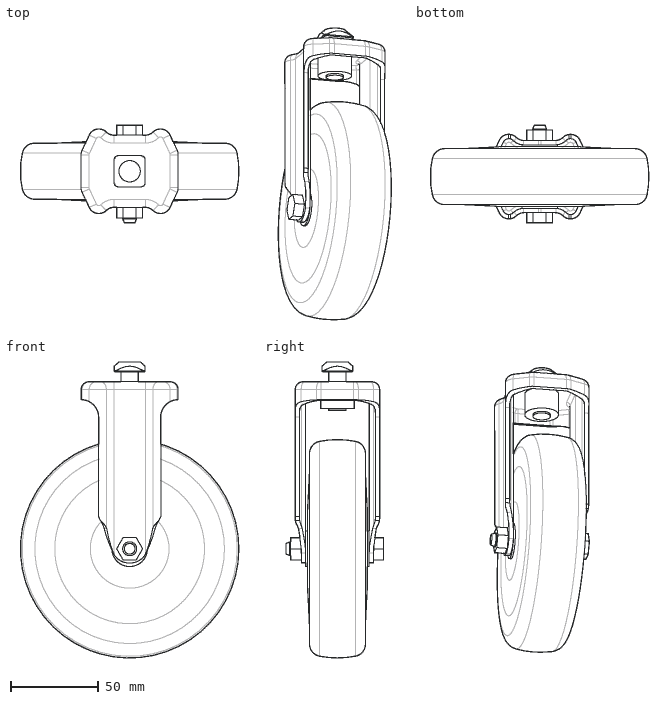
import cadquery as cq
import math


wheel_radius = 62.5
tread_half_width = 10.3
tread_edge_radius = 61.5
rim_half_width = 16.1
rim_radius = 54.2
disc_radius = 42.9
hub_radius = 22.5
hub_half_width = 17.1

sheet = 2.5
web_face_y = 20.7
web_half_width = 9.0
bead_radius = 6.1
bead_x = 17.6
bead_y = 18.1
crown_half_length = 27.8
crown_side_half = 9.3
crown_corner_radius = 6.5
crown_top = 95.5
crown_edge_fillet = 4.5
skirt_bottom = 85.2
leg_half_width = 17.8
skirt_arc_radius = crown_half_length - leg_half_width
taper_top = 18.5
taper_knee = (16.8, 16.3)
taper_bend_z = 11.7
taper_bend_inner_x = 16.0
taper_bend_outer_x = 11.7
taper_end = (9.3, -2.5)
leg_bottom = -8.1
leg_end_mid = (5.0, -7.0)
cut_margin = 0.3

spacer_radius = 10.2
spacer_half_width = web_face_y - sheet
hex_across_flats = 12.9
head_end_y = 26.5
nut_end_y = -26.8
bolt_diameter = 8.0
bolt_tip_y = -29.5
bolt_tip_radius = 3.0
bolt_shank_stub = 0.5

stud_diameter = 10.0
stud_bottom = 79.1
collar_diameter = 19.3
collar_bottom = 80.2
stud_head_width = 17.8
stud_head_corner = 2.4
stud_head_bottom = 101.2
stud_head_top = 107.0
stud_head_top_radius = 6.1
stud_head_slope = 0.9
stud_head_chamfer = 0.5


def on_circle(center, radius, angle):
    return (center[0] + radius * math.cos(angle), center[1] + radius * math.sin(angle))


def y_cylinder(radius, y_start, y_end):
    return cq.Workplane("XZ", origin=(0, y_start, 0)).circle(radius).extrude(y_start - y_end)


def y_hexagon(across_flats, y_start, y_end):
    across_corners = across_flats / math.cos(math.pi / 6)
    plane = cq.Workplane("XZ", origin=(0, y_start, 0))
    return plane.polygon(6, across_corners).extrude(y_start - y_end)


def make_wheel():
    """Revolved section with coned discs, rounded shoulders and a crowned tread."""
    return (
        cq.Workplane("XY")
        .moveTo(0, -hub_half_width)
        .lineTo(hub_radius, -hub_half_width)
        .lineTo(disc_radius, -rim_half_width)
        .lineTo(rim_radius, -rim_half_width)
        .tangentArcPoint((tread_edge_radius, -tread_half_width), relative=False)
        .threePointArc((wheel_radius, 0), (tread_edge_radius, tread_half_width))
        .tangentArcPoint((rim_radius, rim_half_width), relative=False)
        .lineTo(disc_radius, rim_half_width)
        .lineTo(hub_radius, hub_half_width)
        .lineTo(0, hub_half_width)
        .close()
        .revolve(360, (0, 0, 0), (0, 1, 0))
    )


def crown_quarter():
    """Plan of the crown for +X, +Y: straight side, slanted flank, round bead, hollow and web."""
    run = bead_x - web_half_width
    rise = web_face_y - bead_y
    hollow_radius = (run**2 + rise**2 - bead_radius**2) / (2 * (bead_radius - rise))
    hollow_center = (web_half_width, web_face_y + hollow_radius)
    hollow_angle = math.atan2(hollow_center[1] - bead_y, hollow_center[0] - bead_x)

    bead = (bead_x, bead_y)
    corner = (crown_half_length - crown_corner_radius, crown_side_half)
    dx = bead_x - corner[0]
    dy = bead_y - corner[1]
    flank_normal = math.atan2(dy, dx) - math.acos((crown_corner_radius - bead_radius) / math.hypot(dx, dy))

    hollow_mid = (hollow_angle - 3 * math.pi / 2) / 2
    return (
        cq.Workplane("XY")
        .lineTo(crown_half_length, 0)
        .lineTo(crown_half_length, crown_side_half)
        .threePointArc(
            on_circle(corner, crown_corner_radius, flank_normal / 2),
            on_circle(corner, crown_corner_radius, flank_normal),
        )
        .lineTo(*on_circle(bead, bead_radius, flank_normal))
        .threePointArc(
            on_circle(bead, bead_radius, (flank_normal + hollow_angle) / 2),
            on_circle(bead, bead_radius, hollow_angle),
        )
        .threePointArc(
            on_circle(hollow_center, hollow_radius, hollow_mid),
            (web_half_width, web_face_y),
        )
        .lineTo(0, web_face_y)
        .close()
    )


def fork_block(wall_inset, top, edge_fillet):
    """Solid with the crown plan, moved inwards by wall_inset, rounded along its top edge."""
    quarter = crown_quarter().extrude(1.7)
    half = quarter.union(quarter.mirror("YZ"))
    plan = half.union(half.mirror("XZ")).clean()
    outline = plan.faces("<Z").wires().vals()[0]
    wires = cq.Workplane("XY").add(outline).toPending()
    if wall_inset:
        wires = wires.offset2D(-wall_inset)
    block = wires.extrude(top - leg_bottom).translate((0, 0, leg_bottom))
    return block.faces(">Z").edges().fillet(edge_fillet)


def leg_silhouette():
    """Outline of the fork along Y: skirt, concave shoulders, straight legs and rounded ends."""
    shoulder_center = (crown_half_length, skirt_bottom - skirt_arc_radius)
    shoulder_mid = on_circle(shoulder_center, skirt_arc_radius, 3 * math.pi / 4)
    half = (
        cq.Workplane("XZ", origin=(0, 2 * web_face_y, 0))
        .moveTo(0, leg_bottom)
        .threePointArc(leg_end_mid, taper_end)
        .lineTo(leg_half_width, taper_end[1])
        .lineTo(leg_half_width, shoulder_center[1])
        .threePointArc(shoulder_mid, (crown_half_length, skirt_bottom))
        .lineTo(crown_half_length + cut_margin, skirt_bottom)
        .lineTo(crown_half_length + cut_margin, crown_top)
        .lineTo(0, crown_top)
        .close()
        .extrude(4 * web_face_y)
    )
    return half.union(half.mirror("YZ"))


def taper_wire(y, bend_x):
    """Corner removed from a leg end, in the plane at y."""
    outside_x = leg_half_width + cut_margin
    corners = [
        (leg_half_width, taper_top),
        taper_knee,
        (bend_x, taper_bend_z),
        taper_end,
        (outside_x, taper_end[1]),
        (outside_x, taper_top),
    ]
    return cq.Wire.makePolygon([cq.Vector(x, y, z) for x, z in corners], close=True)


def leg_tapers():
    """Four corner cuts whose faces lean inwards across the curved sheet."""
    inner = taper_wire(web_face_y - sheet, taper_bend_inner_x)
    outer = taper_wire(bead_y + bead_radius + cut_margin, taper_bend_outer_x)
    corner = cq.Workplane(cq.Solid.makeLoft([inner, outer], True))
    pair = corner.union(corner.mirror("YZ"))
    return pair.union(pair.mirror("XZ"))


def make_fork():
    shell = fork_block(0, crown_top, crown_edge_fillet).cut(
        fork_block(sheet, crown_top - sheet, crown_edge_fillet - sheet)
    )
    return shell.intersect(leg_silhouette()).cut(leg_tapers())


def make_axle():
    """Spacers beside the hub, hexagonal bolt head and nut, and the protruding bolt tip."""
    axle = y_cylinder(spacer_radius, spacer_half_width, -spacer_half_width)
    axle = axle.union(y_hexagon(hex_across_flats, head_end_y, nut_end_y))
    tip = (
        cq.Workplane("XY")
        .lineTo(bolt_diameter / 2, 0)
        .lineTo(bolt_diameter / 2, nut_end_y - bolt_shank_stub)
        .lineTo(bolt_tip_radius, bolt_tip_y)
        .lineTo(0, bolt_tip_y)
        .close()
        .revolve(360, (0, 0, 0), (0, 1, 0))
    )
    return axle.union(tip)


def z_cylinder(diameter, bottom, top):
    return cq.Workplane("XY", origin=(0, 0, bottom)).circle(diameter / 2).extrude(top - bottom)


def make_stud():
    """Stud through the crown with a collar below and a coned square head on top."""
    head_height = stud_head_top - stud_head_bottom
    cone_base_radius = stud_head_top_radius + head_height / stud_head_slope
    cone = (
        cq.Workplane("XZ")
        .moveTo(0, stud_head_bottom)
        .lineTo(cone_base_radius, stud_head_bottom)
        .lineTo(stud_head_top_radius, stud_head_top)
        .lineTo(0, stud_head_top)
        .close()
        .revolve(360, (0, 0, 0), (0, 1, 0))
    )
    head = (
        cq.Workplane("XY", origin=(0, 0, stud_head_bottom))
        .rect(stud_head_width, stud_head_width)
        .extrude(head_height)
        .edges("|Z")
        .fillet(stud_head_corner)
        .faces("<Z")
        .edges()
        .chamfer(stud_head_chamfer)
        .intersect(cone)
    )
    shank = z_cylinder(stud_diameter, stud_bottom, stud_head_bottom)
    collar = z_cylinder(collar_diameter, collar_bottom, crown_top - sheet)
    return head.union(shank).union(collar)


result = make_wheel().union(make_axle()).union(make_fork()).union(make_stud())